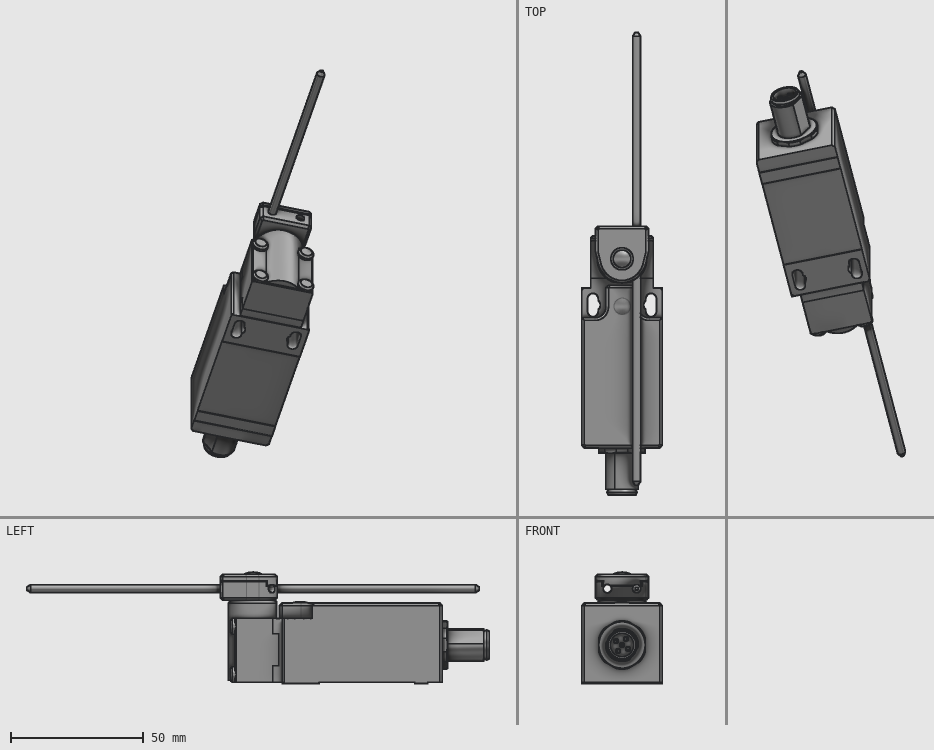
import cadquery as cq
import math


HOUSING_WIDTH = 30.3
HOUSING_TOP = 30.35
HOUSING_REAR = -10.9
HOUSING_FRONT = -71.2
EDGE_CHAMFER = 1.0
SHOULDER_CHAMFER = 0.8
LEDGE_TOP = 24.5
LEDGE_FRONT = -22.2
LEDGE_CORNER_RADIUS = 4.2
TONGUE_WIDTH = 12.1
TONGUE_REAR = -9.9
FOOT_HEIGHT = 0.4
FOOT_SPANS = [(-24.9, HOUSING_REAR), (-65.8, -60.8)]

SLOT_X = 10.95
SLOT_Y = -17.4
SLOT_WIDTH = 3.9
SLOT_LENGTH = 8.7
SLOT_HOLE_X = 10.4
SLOT_HOLE_RADIUS = 2.2

LENS_Y = -17.8
LENS_RADIUS = 3.1
LENS_HEIGHT = 0.5

HEAD_WIDTH = 23.7
HEAD_BOTTOM = FOOT_HEIGHT
HEAD_FRONT = -7.35
HEAD_REAR = 6.9
KEY_FRONT = -9.6
KEY_BOTTOM = 6.7
KEY_TOP = 18.8
HEAD_CHAMFER = 0.5
LOBE_RADIUS = 3.0
LOBE_REAR = 8.6
LOBE_CHAMFER = 0.8
TURRET_RADIUS = 9.35
TURRET_FLAT_Y = -8.9
TURRET_BOTTOM = 1.2
TURRET_CHAMFER = 1.0

LEVER_BOTTOM = 31.3
LEVER_TOP = 41.2
LEVER_HALF_WIDTH = 10.0
LEVER_REAR = 12.35
LEVER_NOSE_RADIUS = 9.1
LEVER_STRAIGHT_END = 2.6
LEVER_CHAMFER = 1.0
GROOVE_DEPTH = 0.6
GROOVE_HEIGHT = 0.5
SIDE_GROOVE_BOTTOM = 38.25
NOSE_GROOVE_DEPTH = 0.25
NOSE_GROOVE_HEIGHT = 0.3
NOSE_GROOVE_BOTTOM = 36.6
GROOVE_STEP_Y = -5.4
SCREW_RADIUS = 3.3
SCREW_RING_RADIUS = 4.2
SCREW_RING_DEPTH = 0.5
SCREW_TOP = 41.97

ROD_X = 5.5
ROD_Z = 35.7
ROD_RADIUS = 1.55
ROD_LENGTH = 170.4
ROD_TIP_LENGTH = 1.5
ROD_TIP_RADIUS = 0.6

CONNECTOR_Z = 14.5
OVERALL_LENGTH = 174.1
CONNECTOR_TIP = ROD_LENGTH / 2 - OVERALL_LENGTH
FLANGE_FRONT = -73.2
FLANGE_RADIUS = 9.1
FLANGE_FLAT_DISTANCE = 8.75
FLANGE_CHAMFER = 0.4
BARREL_RADIUS = 6.2
BARREL_FRONT = -86.8
BARREL_FLAT_DISTANCE = 5.4
BARREL_FLAT_ANGLE = 146
THREAD_ROOT_RADIUS = 5.2
THREAD_CREST_RADIUS = 5.7
SOCKET_RADIUS = 4.4
SOCKET_DEPTH = 6.0
OUTER_PIN_COUNT = 4
PIN_CIRCLE_RADIUS = 2.7
PIN_RADIUS = 0.9
PIN_CHAMFER = 0.4
PIN_LENGTH = 4.5
PIN_START_ANGLE = 57


def box(x_span, y_span, z_span):
    """Box filling the given spans."""
    spans = (x_span, y_span, z_span)
    size = [high - low for low, high in spans]
    return cq.Workplane("XY").box(*size, centered=False).translate([low for low, _ in spans])


def wide_box(width, y_span, z_span):
    """Box of the given width, centred on X = 0."""
    return box((-width / 2, width / 2), y_span, z_span)


def dome(radius, base_z, height):
    """Spherical cap standing on the Z axis."""
    profile = cq.Workplane("XZ").moveTo(0, base_z).lineTo(radius, base_z)
    sphere_radius = (radius**2 + height**2) / (2 * height)
    half_angle = math.asin(radius / sphere_radius) / 2
    middle_z = base_z + height - sphere_radius * (1 - math.cos(half_angle))
    middle = (sphere_radius * math.sin(half_angle), middle_z)
    profile = profile.threePointArc(middle, (0, base_z + height)).close()
    return profile.revolve(360, (0, 0), (0, 1))


def y_cylinder(radius, x, z, rear, front):
    """Cylinder along -Y from the rear position to the front position."""
    return cq.Workplane("XZ", origin=(x, rear, z)).circle(radius).extrude(rear - front)



def ledge_cut(side, growth=0.0):
    """Outline that leaves the ledge on one side, grown evenly by `growth`."""
    inner = TONGUE_WIDTH / 2 - growth
    front = LEDGE_FRONT - growth
    radius = LEDGE_CORNER_RADIUS + growth
    diagonal = radius * (1 - math.sqrt(0.5))
    return (
        cq.Workplane("XY")
        .moveTo(side * HOUSING_WIDTH, 0)
        .lineTo(side * inner, 0)
        .lineTo(side * inner, front + radius)
        .threePointArc(
            (side * (inner + diagonal), front + diagonal),
            (side * (inner + radius), front),
        )
        .lineTo(side * HOUSING_WIDTH, front)
        .close()
    )


def cut_ledge(body, side):
    """Lowers one rear corner to the ledge and chamfers the new top edge."""
    pocket = ledge_cut(side).extrude(HOUSING_TOP - LEDGE_TOP).translate((0, 0, LEDGE_TOP))
    bottom_wire = ledge_cut(side).val()
    top_wire = ledge_cut(side, EDGE_CHAMFER).val().translate(cq.Vector(0, 0, EDGE_CHAMFER))
    bevel = cq.Solid.makeLoft([bottom_wire, top_wire], True)
    bevel = cq.Workplane(bevel).translate((0, 0, HOUSING_TOP - EDGE_CHAMFER))
    return body.cut(pocket).cut(bevel)


def mounting_slot(side):
    """Upright slot widened inwards by a round hole."""
    slot = cq.Workplane("XY").center(side * SLOT_X, SLOT_Y).slot2D(SLOT_LENGTH, SLOT_WIDTH, 90)
    hole = cq.Workplane("XY").center(side * SLOT_HOLE_X, SLOT_Y).circle(SLOT_HOLE_RADIUS)
    return slot.extrude(HOUSING_TOP).union(hole.extrude(HOUSING_TOP))


def make_housing():
    body = wide_box(HOUSING_WIDTH, (HOUSING_FRONT, HOUSING_REAR), (FOOT_HEIGHT, HOUSING_TOP))
    body = body.edges("|Z and <Y").chamfer(EDGE_CHAMFER)
    body = body.edges("|Z and >Y").chamfer(SHOULDER_CHAMFER)
    body = body.faces(">Z").edges("not(>Y)").chamfer(EDGE_CHAMFER)

    tongue = wide_box(TONGUE_WIDTH, (LEDGE_FRONT, TONGUE_REAR), (LEDGE_TOP, HOUSING_TOP))
    tongue = tongue.edges("|Z and >Y").chamfer(EDGE_CHAMFER)
    tongue = tongue.faces(">Z").chamfer(EDGE_CHAMFER)
    body = body.union(tongue)
    for side in (-1, 1):
        body = cut_ledge(body, side)

    neck = wide_box(HEAD_WIDTH, (HOUSING_REAR, HEAD_FRONT), (HEAD_BOTTOM, LEDGE_TOP))
    key_seat = wide_box(HEAD_WIDTH, (KEY_FRONT, HEAD_FRONT), (KEY_BOTTOM, KEY_TOP))
    body = body.union(neck.cut(key_seat))

    for front, rear in FOOT_SPANS:
        body = body.union(wide_box(HOUSING_WIDTH, (front, rear), (0, FOOT_HEIGHT)))
    for side in (-1, 1):
        body = body.cut(mounting_slot(side))
    lens = dome(LENS_RADIUS, HOUSING_TOP, LENS_HEIGHT)
    return body.union(lens.translate((0, LENS_Y, 0)))



def corner_lobes():
    """Four round bosses at the corners of the rear face."""
    lobe_x = HEAD_WIDTH / 2 - LOBE_RADIUS
    lobes = []
    for x in (-lobe_x, lobe_x):
        for z in (HEAD_BOTTOM + LOBE_RADIUS, LEDGE_TOP - LOBE_RADIUS):
            lobe = y_cylinder(LOBE_RADIUS, x, z, LOBE_REAR, HEAD_REAR - HEAD_CHAMFER)
            lobes.append(lobe.faces(">Y").chamfer(LOBE_CHAMFER))
    return lobes


def make_turret():
    """Upright barrel that carries the lever; its lower half bulges from the rear of the head block."""
    lower = cq.Workplane("XY").workplane(offset=TURRET_BOTTOM).circle(TURRET_RADIUS)
    lower = lower.extrude(LEDGE_TOP - TURRET_BOTTOM)
    lower = lower.intersect(wide_box(HEAD_WIDTH, (0, TURRET_RADIUS), (HEAD_BOTTOM, LEDGE_TOP)))
    upper = cq.Workplane("XY").workplane(offset=LEDGE_TOP).circle(TURRET_RADIUS)
    upper = upper.extrude(LEVER_BOTTOM - LEDGE_TOP).faces(">Z").chamfer(TURRET_CHAMFER)
    flat = wide_box(HEAD_WIDTH, (-TURRET_RADIUS, TURRET_FLAT_Y), (LEDGE_TOP, LEVER_BOTTOM))
    upper = upper.cut(flat)
    return lower.union(upper)


def make_head():
    block = wide_box(HEAD_WIDTH, (HEAD_FRONT, HEAD_REAR), (HEAD_BOTTOM, LEDGE_TOP))
    block = block.edges("|Z and >Y").chamfer(HEAD_CHAMFER)
    key = wide_box(HEAD_WIDTH, (KEY_FRONT, HEAD_FRONT), (KEY_BOTTOM, KEY_TOP))
    head = block.union(key).union(make_turret())
    for lobe in corner_lobes():
        head = head.union(lobe)
    return head



def lever_outline(bottom_z, inset=0.0):
    """Straight-sided outline that tapers into a round nose, moved inwards by `inset`."""
    half = LEVER_HALF_WIDTH - inset
    nose = LEVER_NOSE_RADIUS - inset
    rear = LEVER_REAR - inset
    reach = math.hypot(half, LEVER_STRAIGHT_END)
    tangent_angle = math.atan2(LEVER_STRAIGHT_END, half) - math.acos(nose / reach)
    tangent_x = nose * math.cos(tangent_angle)
    tangent_y = nose * math.sin(tangent_angle)
    return (
        cq.Workplane("XY")
        .workplane(offset=bottom_z)
        .moveTo(-half, rear)
        .lineTo(half, rear)
        .lineTo(half, LEVER_STRAIGHT_END)
        .lineTo(tangent_x, tangent_y)
        .threePointArc((0, -nose), (-tangent_x, tangent_y))
        .lineTo(-half, LEVER_STRAIGHT_END)
        .close()
    )


def edge_groove(bottom_z, height, depth):
    """Groove running all round the lever outline."""
    return lever_outline(bottom_z).extrude(height).cut(lever_outline(bottom_z, depth).extrude(height))


def make_lever():
    lever = lever_outline(LEVER_BOTTOM).extrude(LEVER_TOP - LEVER_BOTTOM)
    lever = lever.edges("|Z and >Y").chamfer(LEVER_CHAMFER)
    lever = lever.faces("<Z or >Z").chamfer(LEVER_CHAMFER)

    width = 2 * LEVER_HALF_WIDTH
    lever_height = (LEVER_BOTTOM, LEVER_TOP)
    rear_zone = wide_box(width, (GROOVE_STEP_Y, LEVER_REAR), lever_height)
    nose_zone = wide_box(width, (-LEVER_NOSE_RADIUS, GROOVE_STEP_Y), lever_height)
    side_groove = edge_groove(SIDE_GROOVE_BOTTOM, GROOVE_HEIGHT, GROOVE_DEPTH).intersect(rear_zone)
    nose_groove = edge_groove(NOSE_GROOVE_BOTTOM, NOSE_GROOVE_HEIGHT, NOSE_GROOVE_DEPTH)
    nose_groove = nose_groove.intersect(nose_zone)
    step_height = SIDE_GROOVE_BOTTOM + GROOVE_HEIGHT - NOSE_GROOVE_BOTTOM
    step_zone = wide_box(width, (GROOVE_STEP_Y, GROOVE_STEP_Y + GROOVE_HEIGHT), lever_height)
    step_groove = edge_groove(NOSE_GROOVE_BOTTOM, step_height, NOSE_GROOVE_DEPTH).intersect(step_zone)
    lever = lever.cut(side_groove).cut(nose_groove).cut(step_groove)

    for x in (-ROD_X, ROD_X):
        lever = lever.cut(y_cylinder(ROD_RADIUS, x, ROD_Z, LEVER_REAR, -LEVER_NOSE_RADIUS))

    ring_floor = LEVER_TOP - SCREW_RING_DEPTH
    ring = cq.Workplane("XY").workplane(offset=ring_floor).circle(SCREW_RING_RADIUS).circle(SCREW_RADIUS)
    lever = lever.cut(ring.extrude(SCREW_RING_DEPTH))
    return lever.union(dome(SCREW_RADIUS, LEVER_TOP, SCREW_TOP - LEVER_TOP))



def make_rod():
    rod = y_cylinder(ROD_RADIUS, ROD_X, ROD_Z, ROD_LENGTH / 2, -ROD_LENGTH / 2)
    return rod.faces("<Y or >Y").chamfer(ROD_TIP_LENGTH, ROD_RADIUS - ROD_TIP_RADIUS)



def flat_cutter(distance, angle, size):
    """Long block lying outside a flat at the given distance from the connector axis."""
    length = HOUSING_FRONT - CONNECTOR_TIP
    block = box((distance, distance + size), (CONNECTOR_TIP, HOUSING_FRONT), (-size, size))
    block = block.intersect(y_cylinder(distance + size, 0, 0, HOUSING_FRONT, HOUSING_FRONT - length))
    return block.rotate((0, 0, 0), (0, 1, 0), -angle).translate((0, 0, CONNECTOR_Z))


def pin_places():
    """Centres of the contact pins: one in the middle and a ring round it."""
    places = [(0, CONNECTOR_Z)]
    for index in range(OUTER_PIN_COUNT):
        angle = math.radians(PIN_START_ANGLE + index * 360 / OUTER_PIN_COUNT)
        x = PIN_CIRCLE_RADIUS * math.cos(angle)
        z = CONNECTOR_Z + PIN_CIRCLE_RADIUS * math.sin(angle)
        places.append((x, z))
    return places


def make_connector():
    flange = y_cylinder(FLANGE_RADIUS, 0, CONNECTOR_Z, HOUSING_FRONT, FLANGE_FRONT)
    flange = flange.faces("<Y").chamfer(FLANGE_CHAMFER)
    for angle in range(0, 360, 60):
        flange = flange.cut(flat_cutter(FLANGE_FLAT_DISTANCE, angle, FLANGE_RADIUS))

    barrel = y_cylinder(BARREL_RADIUS, 0, CONNECTOR_Z, FLANGE_FRONT, BARREL_FRONT)
    for angle in (BARREL_FLAT_ANGLE, BARREL_FLAT_ANGLE + 180):
        barrel = barrel.cut(flat_cutter(BARREL_FLAT_DISTANCE, angle, BARREL_RADIUS))

    crest_y = (BARREL_FRONT + CONNECTOR_TIP) / 2
    thread = (
        cq.Workplane("XY")
        .moveTo(0, BARREL_FRONT)
        .lineTo(THREAD_ROOT_RADIUS, BARREL_FRONT)
        .lineTo(THREAD_CREST_RADIUS, crest_y)
        .lineTo(THREAD_ROOT_RADIUS, CONNECTOR_TIP)
        .lineTo(0, CONNECTOR_TIP)
        .close()
        .revolve(360, (0, 0), (0, 1))
        .translate((0, 0, CONNECTOR_Z))
    )
    socket_floor = CONNECTOR_TIP + SOCKET_DEPTH
    socket = y_cylinder(SOCKET_RADIUS, 0, CONNECTOR_Z, socket_floor, CONNECTOR_TIP)
    connector = flange.union(barrel).union(thread).cut(socket)
    for x, z in pin_places():
        pin = y_cylinder(PIN_RADIUS, x, z, socket_floor, socket_floor - PIN_LENGTH)
        connector = connector.union(pin.faces("<Y").chamfer(PIN_CHAMFER))
    return connector


housing = make_housing()
head = make_head()
lever = make_lever()
rod = make_rod()
connector = make_connector()

result = cq.Compound.makeCompound([
    housing.val(),
    head.val(),
    lever.val(),
    rod.val(),
    connector.val(),
])